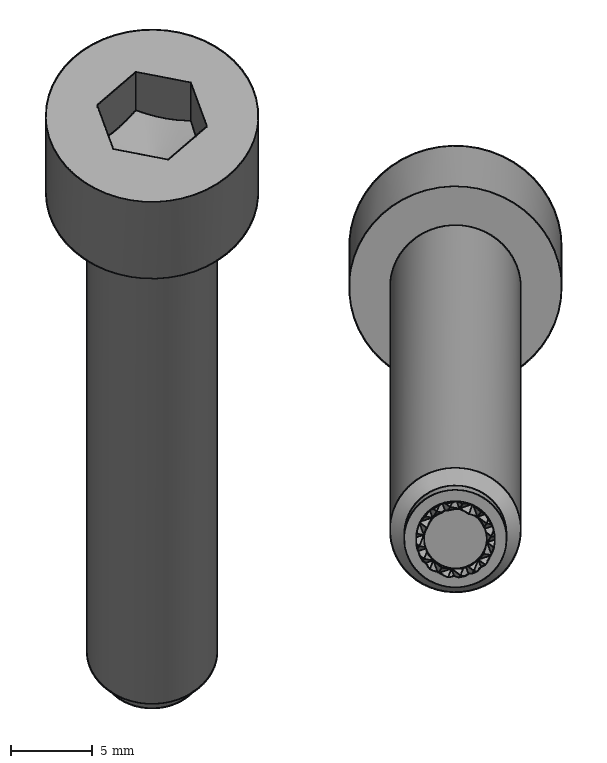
import cadquery as cq
import math

TOTAL_LENGTH = 58.0
HEAD_DIAMETER = 13.0
HEAD_HEIGHT = 8.0
SHANK_DIAMETER = 8.0

SOCKET_ACROSS_FLATS = 6.0
SOCKET_DEPTH = 4.0
SOCKET_FLOOR_ANGLE = 120.0

POINT_DIAMETER = 6.25
POINT_LENGTH = 0.85
CHAMFER_LENGTH = 0.8

INSERT_DIAMETER = 4.8
INSERT_SEAT_DEPTH = 2.3
TOOTH_RING_INNER_DIAMETER = 3.8
TOOTH_PITCH = 0.85
TEETH_PER_ROW = 6
TOOTH_HEIGHT = 0.505

POINT_FACE_Z = TOOTH_HEIGHT
CHAMFER_BOTTOM_Z = POINT_FACE_Z + POINT_LENGTH
CHAMFER_TOP_Z = CHAMFER_BOTTOM_Z + CHAMFER_LENGTH
HEAD_BOTTOM_Z = TOTAL_LENGTH - HEAD_HEIGHT
INSERT_TOP_Z = POINT_FACE_Z + INSERT_SEAT_DEPTH


def make_cylinder(diameter, bottom_z, top_z):
    """Vertical cylinder between two heights."""
    return cq.Workplane("XY", origin=(0, 0, bottom_z)).circle(diameter / 2).extrude(top_z - bottom_z)


def make_screw_blank():
    """Head, shank, chamfer and reduced point as one turned profile."""
    return (
        cq.Workplane("XZ")
        .moveTo(0, POINT_FACE_Z)
        .lineTo(POINT_DIAMETER / 2, POINT_FACE_Z)
        .lineTo(POINT_DIAMETER / 2, CHAMFER_BOTTOM_Z)
        .lineTo(SHANK_DIAMETER / 2, CHAMFER_TOP_Z)
        .lineTo(SHANK_DIAMETER / 2, HEAD_BOTTOM_Z)
        .lineTo(HEAD_DIAMETER / 2, HEAD_BOTTOM_Z)
        .lineTo(HEAD_DIAMETER / 2, TOTAL_LENGTH)
        .lineTo(0, TOTAL_LENGTH)
        .close()
        .revolve(360, (0, 0, 0), (0, 1, 0))
    )


def make_socket():
    """Hexagon with two flats facing +Y and -Y, ending in a cone through its corners."""
    across_corners = SOCKET_ACROSS_FLATS / math.cos(math.radians(30))
    corner_radius = across_corners / 2
    cone_depth = corner_radius / math.tan(math.radians(SOCKET_FLOOR_ANGLE / 2))
    cone_base_z = TOTAL_LENGTH - SOCKET_DEPTH
    cone_tip_z = cone_base_z - cone_depth
    hexagon = (
        cq.Workplane("XY", origin=(0, 0, cone_tip_z))
        .polygon(6, across_corners)
        .extrude(TOTAL_LENGTH - cone_tip_z)
    )
    pointed_core = (
        cq.Workplane("XZ")
        .moveTo(0, cone_tip_z)
        .lineTo(corner_radius, cone_base_z)
        .lineTo(corner_radius, TOTAL_LENGTH)
        .lineTo(0, TOTAL_LENGTH)
        .close()
        .revolve(360, (0, 0, 0), (0, 1, 0))
    )
    return hexagon.intersect(pointed_core)


def make_screw():
    """Socket head screw with a seat for the insert in its lower end."""
    insert_seat = make_cylinder(INSERT_DIAMETER, POINT_FACE_Z, INSERT_TOP_Z)
    return make_screw_blank().cut(make_socket()).cut(insert_seat)


def make_tooth_ridges():
    """Rows of V ridges along Y, joined above by a block that reaches the top of the insert."""
    row_start = -TEETH_PER_ROW * TOOTH_PITCH / 2
    profile = cq.Workplane("XZ").moveTo(row_start, TOOTH_HEIGHT)
    for tooth in range(TEETH_PER_ROW):
        valley_x = row_start + tooth * TOOTH_PITCH
        profile = profile.lineTo(valley_x + TOOTH_PITCH / 2, 0)
        profile = profile.lineTo(valley_x + TOOTH_PITCH, TOOTH_HEIGHT)
    profile = profile.lineTo(-row_start, INSERT_TOP_Z).lineTo(row_start, INSERT_TOP_Z).close()
    return profile.extrude(INSERT_DIAMETER, both=True)


def make_insert():
    """Round insert with pyramid teeth, cut by two crossing sets of ridges, around a flat centre."""
    ridges_along_y = make_tooth_ridges()
    ridges_along_x = ridges_along_y.rotate((0, 0, 0), (0, 0, 1), 90)
    flat_centre = make_cylinder(TOOTH_RING_INNER_DIAMETER, 0, POINT_FACE_Z)
    body = make_cylinder(INSERT_DIAMETER, 0, INSERT_TOP_Z)
    return body.intersect(ridges_along_y).intersect(ridges_along_x).cut(flat_centre)


screw = make_screw()
gripping_insert = make_insert()

result = cq.Compound.makeCompound([screw.val(), gripping_insert.val()])